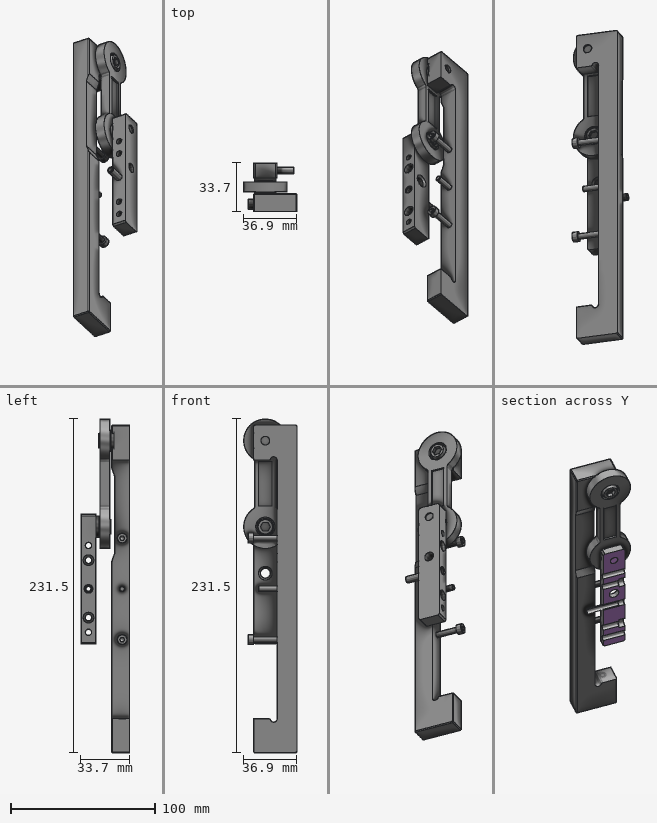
import cadquery as cq
import math


frame_width = 30.0
frame_height = 227.4
frame_thickness = 12.5
spine_face_x = 16.2
foot_height = 23.6
head_height = 24.3
relief_radius = 2.3
relief_edge_radius = 1.2
edge_chamfer = 0.7
mid_z = frame_height / 2

thinning_depth = 2.0
thinning_ramp = 5.8
thinning_bottom_z = 132.5
thinning_top_z = 197.7
thinned_thickness = frame_thickness - thinning_depth
fastener_y = 5.0

pivot_x = spine_face_x / 2
upper_pivot_z = 216.5
pivot_spacing = 59.7
lower_pivot_z = upper_pivot_z - pivot_spacing
arm_thickness = 7.0
arm_front_y = 13.7
arm_back_y = arm_front_y + arm_thickness
disc_diameter = 30.0
bar_width = 14.8
bar_fillet = 2.3
arm_pocket_width = 9.3
arm_pocket_length = 30.5
arm_pocket_depth = 1.5
hub_diameter = 15.0
hub_height = 2.8
hub_chamfer = 0.7
head_bore_diameter = 13.5
head_bore_depth = 2.3
stud_head_diameter = 11.5
stud_head_top_diameter = 10.0
stud_head_proud = 1.0
stud_hex_flats = 6.0
stud_hex_depth = 2.8
stud_diameter = 6.0
stud_end_gap = 1.6
hub_recess_diameter = 19.0
hub_recess_floor_y = arm_front_y - hub_height
stud_length = hub_recess_floor_y - stud_end_gap

block_width = spine_face_x
block_thickness = 10.2
block_height = 90.0
block_bottom_z = mid_z - 38.2
block_front_y = arm_back_y + hub_height
block_mid_y = block_front_y + block_thickness / 2
block_chamfer = 1.2
cross_hole_diameter = 6.7
cross_hole_mouth_diameter = 9.5
cross_hole_z = 124.5
counterbore_diameter = 7.5
counterbore_depth = 4.5
screw_clearance_diameter = 4.5
block_screw_offset = 20.0
dowel_hole_diameter = 4.2
dowel_hole_offset = 30.0
tube_hole_mouth_diameter = 6.0

tube_diameter = 4.9
tube_bore = 3.2
tube_start_x = 4.6
tube_end_x = 28.0
tip_chamfer = 0.5

shank_diameter = 4.0
screw_head_diameter = 7.0
screw_head_height = 4.0
screw_head_chamfer = 0.2
screw_hex_flats = 3.0
screw_hex_depth = 2.0
screw_hex_tip_depth = 1.0
screw_offset = 35.2
screw_heights = (mid_z - screw_offset, mid_z + screw_offset)
shank_length = 25.0
pin_start_x = 3.2
pin_end_x = 23.2

foot_hole_mouth_diameter = 4.9
foot_hole_floor_diameter = 3.2
foot_hole_depth = 0.2

PLUS_X = (1, 0, 0)
PLUS_Y = (0, 1, 0)
MINUS_Y = (0, -1, 0)
MINUS_Z = (0, 0, -1)


def rod(diameter, length, start, direction):
    """Cylinder that grows from the start point along the direction."""
    return cq.Workplane(
        obj=cq.Solid.makeCylinder(diameter / 2, length, cq.Vector(*start), cq.Vector(*direction))
    )


def cone(start_diameter, end_diameter, length, start, direction):
    """Truncated cone that grows from the start point along the direction."""
    return cq.Workplane(
        obj=cq.Solid.makeCone(
            start_diameter / 2, end_diameter / 2, length, cq.Vector(*start), cq.Vector(*direction)
        )
    )


def hex_prism(flats, depth, start, corner_direction, direction):
    """Hexagonal prism that grows from the start point, with a corner in the corner direction."""
    plane = cq.Plane(origin=start, xDir=corner_direction, normal=direction)
    return cq.Workplane(plane).polygon(6, flats / math.cos(math.pi / 6)).extrude(depth)


def box_between(x_min, x_max, y_min, y_max, z_min, z_max):
    """Box between the given limits."""
    box = cq.Workplane().box(x_max - x_min, y_max - y_min, z_max - z_min, centered=False)
    return box.translate((x_min, y_min, z_min))


def make_frame():
    """C-shaped bar with a pivot hole in its head and fastener holes in its spine."""
    head_bottom_z = frame_height - head_height
    body = box_between(0, frame_width, 0, frame_thickness, 0, frame_height)
    body = body.edges("|Y").chamfer(edge_chamfer)
    body = body.faces(">Y").edges().chamfer(edge_chamfer)
    body = body.cut(box_between(0, spine_face_x, 0, frame_thickness, foot_height, head_bottom_z))

    for corner_z in (foot_height, head_bottom_z):
        corner = (spine_face_x - relief_radius, 0, corner_z)
        body = body.cut(rod(2 * relief_radius, frame_thickness, corner, PLUS_Y))
        relief_edge = cq.selectors.NearestToPointSelector(
            (spine_face_x - 2 * relief_radius, frame_thickness / 2, corner_z)
        )
        body = body.edges("|Y").edges(relief_edge).fillet(relief_edge_radius)

    thinning = (
        cq.Workplane("YZ")
        .moveTo(frame_thickness, thinning_bottom_z)
        .lineTo(thinned_thickness, thinning_bottom_z + thinning_ramp)
        .lineTo(thinned_thickness, thinning_top_z - thinning_ramp)
        .lineTo(frame_thickness, thinning_top_z)
        .close()
        .extrude(frame_width)
    )
    body = body.cut(thinning)

    hub_recess = rod(
        hub_recess_diameter, arm_front_y, (pivot_x, hub_recess_floor_y, upper_pivot_z), PLUS_Y
    )
    stud_hole = rod(stud_diameter, frame_thickness, (pivot_x, 0, upper_pivot_z), PLUS_Y)
    body = body.cut(hub_recess).cut(stud_hole)

    for z in screw_heights:
        body = body.cut(rod(shank_diameter, shank_length, (0, fastener_y, z), PLUS_X))
    body = body.cut(rod(shank_diameter, pin_end_x, (0, fastener_y, mid_z), PLUS_X))

    foot_hole_mouth = (pivot_x, fastener_y, foot_height)
    foot_hole = cone(
        foot_hole_mouth_diameter, foot_hole_floor_diameter, foot_hole_depth, foot_hole_mouth, MINUS_Z
    )
    return body.cut(foot_hole)


def add_pivot(arm, z, hub_face_y, head_face_y, hub_direction):
    """Add a hub and stud on one face of the arm and a sunken hexagon-socket head on the other."""
    head_direction = (0, -hub_direction[1], 0)
    sign = head_direction[1]
    bore_floor = (pivot_x, head_face_y - sign * head_bore_depth, z)
    arm = arm.cut(rod(head_bore_diameter, head_bore_depth, bore_floor, head_direction))

    head_rise = head_bore_depth + stud_head_proud
    head = cone(stud_head_diameter, stud_head_top_diameter, head_rise, bore_floor, head_direction)
    socket_floor = (pivot_x, head_face_y + sign * (stud_head_proud - stud_hex_depth), z)
    socket = hex_prism(stud_hex_flats, stud_hex_depth, socket_floor, PLUS_X, head_direction)
    hub = rod(hub_diameter, hub_height, (pivot_x, hub_face_y, z), hub_direction)
    hub = hub.faces(">Y" if head_direction[1] > 0 else "<Y").edges().chamfer(hub_chamfer)
    stud = rod(stud_diameter, hub_height + stud_length, (pivot_x, hub_face_y, z), hub_direction)
    return arm.union(head).cut(socket).union(hub).union(stud)


def make_arm():
    """Two discs joined by a bar with a pocket in both faces, and opposed pivots at the ends."""
    bar_center_z = (upper_pivot_z + lower_pivot_z) / 2
    bar_half_width = bar_width / 2
    body = box_between(
        pivot_x - bar_half_width, pivot_x + bar_half_width,
        arm_front_y, arm_back_y, lower_pivot_z, upper_pivot_z,
    )
    for z in (lower_pivot_z, upper_pivot_z):
        body = body.union(rod(disc_diameter, arm_thickness, (pivot_x, arm_front_y, z), PLUS_Y))
    inner_corners = cq.selectors.BoxSelector(
        (pivot_x - bar_width, 0, lower_pivot_z + stud_diameter),
        (pivot_x + bar_width, 2 * arm_back_y, upper_pivot_z - stud_diameter),
    )
    body = body.edges("|Y").edges(inner_corners).fillet(bar_fillet)

    for pocket_mid_y in (arm_front_y, arm_back_y):
        pocket = cq.Workplane().box(arm_pocket_width, 2 * arm_pocket_depth, arm_pocket_length)
        body = body.cut(pocket.translate((pivot_x, pocket_mid_y, bar_center_z)))

    body = add_pivot(body, upper_pivot_z, arm_front_y, arm_back_y, MINUS_Y)
    return add_pivot(body, lower_pivot_z, arm_back_y, arm_front_y, PLUS_Y)


def make_block():
    """Block on the lower pivot, drilled from its side and its front."""
    back_y = block_front_y + block_thickness
    body = box_between(0, block_width, block_front_y, back_y, block_bottom_z, block_bottom_z + block_height)
    body = body.edges("|Y").chamfer(block_chamfer)

    body = body.cut(rod(stud_diameter, block_thickness, (pivot_x, block_front_y, lower_pivot_z), PLUS_Y))
    mouth = (pivot_x, block_front_y, cross_hole_z)
    mouth_depth = (cross_hole_mouth_diameter - cross_hole_diameter) / 2
    body = body.cut(rod(cross_hole_diameter, block_thickness, mouth, PLUS_Y))
    body = body.cut(cone(cross_hole_mouth_diameter, cross_hole_diameter, mouth_depth, mouth, PLUS_Y))

    for side in (-1, 1):
        screw_mouth = (0, block_mid_y, mid_z + side * block_screw_offset)
        dowel_mouth = (0, block_mid_y, mid_z + side * dowel_hole_offset)
        body = body.cut(rod(counterbore_diameter, counterbore_depth, screw_mouth, PLUS_X))
        body = body.cut(rod(screw_clearance_diameter, block_width, screw_mouth, PLUS_X))
        body = body.cut(rod(dowel_hole_diameter, block_width, dowel_mouth, PLUS_X))

    tube_mouth = (0, block_mid_y, mid_z)
    tube_mouth_depth = (tube_hole_mouth_diameter - tube_diameter) / 2
    body = body.cut(rod(tube_diameter, block_width, tube_mouth, PLUS_X))
    return body.cut(
        cone(tube_hole_mouth_diameter, tube_diameter, tube_mouth_depth, tube_mouth, PLUS_X)
    )


def make_tube():
    """Tube that fills the middle hole of the block and stands out towards the spine side."""
    start = (tube_start_x, block_mid_y, mid_z)
    length = tube_end_x - tube_start_x
    body = rod(tube_diameter, length, start, PLUS_X).faces(">X").edges().chamfer(tip_chamfer)
    return body.cut(rod(tube_bore, length, start, PLUS_X))


def make_screw(z):
    """Socket head cap screw whose shank ends inside the spine."""
    head = rod(screw_head_diameter, screw_head_height, (-screw_head_height, fastener_y, z), PLUS_X)
    head = head.faces("<X").edges().chamfer(screw_head_chamfer)
    socket_mouth = (-screw_head_height, fastener_y, z)
    socket = hex_prism(screw_hex_flats, screw_hex_depth, socket_mouth, PLUS_Y, PLUS_X)
    socket_floor = (screw_hex_depth - screw_head_height, fastener_y, z)
    tip = cone(screw_hex_flats, 0, screw_hex_tip_depth, socket_floor, PLUS_X)
    shank = rod(shank_diameter, shank_length, (0, fastener_y, z), PLUS_X)
    return head.union(shank).cut(socket).cut(tip)


def make_pin():
    """Pin with a chamfered tip, set into the middle of the spine."""
    start = (pin_start_x, fastener_y, mid_z)
    body = rod(shank_diameter, pin_end_x - pin_start_x, start, PLUS_X)
    return body.faces("<X").edges().chamfer(tip_chamfer)


frame = make_frame()
arm = make_arm()
block = make_block()
tube = make_tube()
pin = make_pin()
screws = [make_screw(z) for z in screw_heights]

result = cq.Compound.makeCompound(
    [frame.val(), arm.val(), block.val(), tube.val(), pin.val()] + [screw.val() for screw in screws]
)